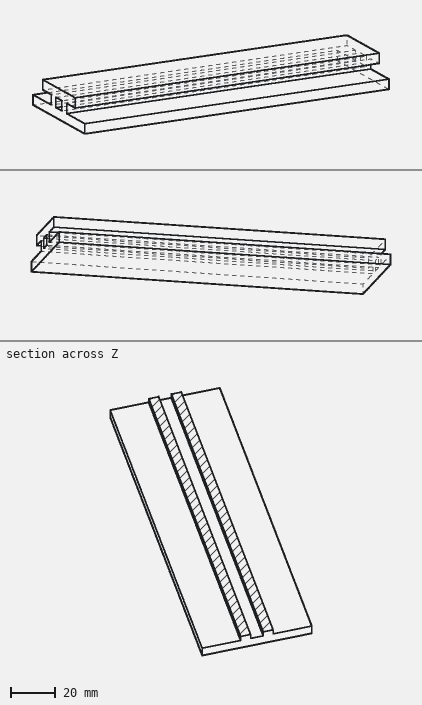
import cadquery as cq

INCH = 25.4

length = 6.0 * INCH
base_width = 2.0 * INCH
top_width = 1.25 * INCH
wall = 0.188 * INCH
web_height = 0.188 * INCH
webs_outer_width = 0.6 * INCH

top_flange_bottom = wall + web_height
web_offset = (webs_outer_width - wall) / 2


def bar(width, height, x_center, z_bottom):
    """Full-length rectangular bar centred in Y, standing on z_bottom."""
    return (
        cq.Workplane("XY")
        .box(width, length, height, centered=(True, True, False))
        .translate((x_center, 0, z_bottom))
    )


base_flange = bar(base_width, wall, 0, 0)
top_flange = bar(top_width, wall, 0, top_flange_bottom)

result = base_flange
for side in (-1, 1):
    result = result.union(bar(wall, web_height, side * web_offset, wall))
result = result.union(top_flange).clean()